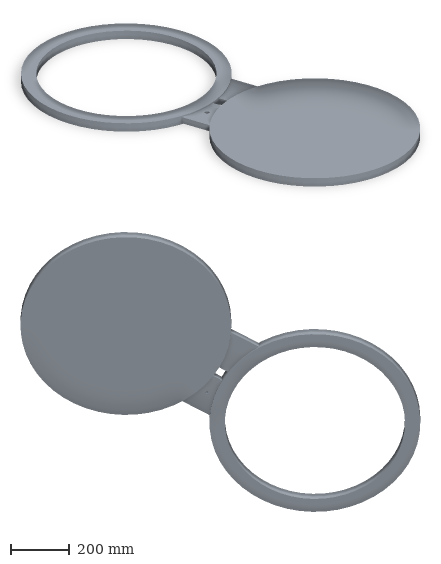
import cadquery as cq

total_length = 1464.0
disc_diameter = 714.0
disc_thickness = 32.0

ring_opening_diameter = 610.0

bridge_width = 322.0
bridge_thickness = 23.0
bridge_gap = 40.0

hole_diameter = 9.0
counterbore_diameter = 16.0
counterbore_depth = 5.0
hole_y = -88.0

center_offset = (total_length - disc_diameter) / 2
plate_width = (bridge_width - bridge_gap) / 2
plate_center_y = (bridge_gap + plate_width) / 2


def round_plate(center_x, diameter):
    """A full-thickness round plate, centred on the XY plane."""
    return (
        cq.Workplane("XY")
        .center(center_x, 0)
        .circle(diameter / 2)
        .extrude(disc_thickness / 2, both=True)
    )


def bridge_plates():
    """Two plates running from one circle centre to the other, with a gap between them."""
    return (
        cq.Workplane("XY")
        .pushPoints([(0, -plate_center_y), (0, plate_center_y)])
        .box(2 * center_offset, plate_width, bridge_thickness)
    )


def counterbored_hole():
    """Cutter for the counterbored hole, starting at the top face of the bridge."""
    bridge_top = cq.Workplane("XY").workplane(offset=bridge_thickness / 2).center(0, hole_y)
    hole = bridge_top.circle(hole_diameter / 2).extrude(-bridge_thickness)
    counterbore = bridge_top.circle(counterbore_diameter / 2).extrude(-counterbore_depth)
    return hole.union(counterbore)


ring_blank = round_plate(-center_offset, disc_diameter)
disc = round_plate(center_offset, disc_diameter)
ring_opening = round_plate(-center_offset, ring_opening_diameter)

result = ring_blank.union(disc).union(bridge_plates())
result = result.cut(ring_opening).cut(counterbored_hole())